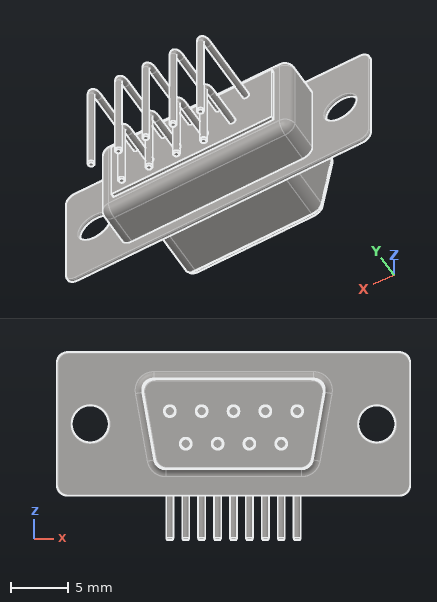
import cadquery as cq
import math


total_depth = 18.97
total_height = 16.4

flange_width = 30.8
flange_height = 12.55
flange_thickness = 0.43
flange_corner_radius = 1.0
flange_edge_round = 0.1
screw_hole_diameter = 3.2
screw_hole_spacing = 24.95

shell_length = 5.75
shell_height = 7.92
shell_top_width = 16.32
shell_side_angle = 10.0
shell_corner_radius = 1.02
shell_flare_radius = 0.62

insert_length = 0.35
insert_inset = 0.1
insert_edge_round = 0.1

housing_width = 19.3
housing_height = 9.95
housing_depth = 4.0
housing_round = 1.0
plate_width = 16.25
plate_height = 7.02
plate_thickness = 0.37

contact_pitch = 2.77
upper_row_count = 5
lower_row_count = 4
socket_diameter = 0.85
socket_mouth_diameter = 1.05
socket_depth = 3.08
socket_row_spacing = 2.83
socket_rows_middle = -0.3

pin_diameter = 0.65
pin_bend_radius = 1.3
pin_row_spacing_z = 2.77
pin_row_spacing_y = 2.85
pin_tip_setback = 0.1
pin_tip_length = 0.2

mating_depth = shell_length + insert_length
housing_back = flange_thickness + housing_depth
plate_back = housing_back + plate_thickness
pin_upper_row_reach = total_depth - mating_depth - pin_diameter / 2
pin_end_z = flange_height / 2 - total_height


def row_positions(count):
    """X places of one row of contacts, centred on X = 0."""
    return [(i - (count - 1) / 2) * contact_pitch for i in range(count)]


def block(width, height, y_start, depth):
    """Box centred on X and Z that runs from y_start towards +Y."""
    return cq.Workplane("XY").box(width, depth, height).translate((0, y_start + depth / 2, 0))


def make_flange():
    flange = block(flange_width, flange_height, 0, flange_thickness)
    flange = flange.edges("|Y").fillet(flange_corner_radius)
    screw_holes = cylinders_along_y(
        [(-screw_hole_spacing / 2, 0), (screw_hole_spacing / 2, 0)],
        screw_hole_diameter,
        0,
        flange_thickness,
    )
    return flange.cut(screw_holes).faces("<Y or >Y").edges().fillet(flange_edge_round)


def d_block(length, inset):
    """Rounded D outline, moved inwards by inset and drawn out from Y = 0 towards -Y."""
    slope = math.radians(shell_side_angle)
    half_height = shell_height / 2 - inset
    half_top = shell_top_width / 2 - inset * (1 / math.cos(slope) + math.tan(slope))
    half_bottom = half_top - 2 * half_height * math.tan(slope)
    corners = [
        (-half_top, half_height),
        (half_top, half_height),
        (half_bottom, -half_height),
        (-half_bottom, -half_height),
    ]
    solid = cq.Workplane("XZ").polyline(corners).close().extrude(length)
    return solid.edges("|Y").fillet(shell_corner_radius)


def make_shell():
    insert = d_block(shell_length + insert_length, insert_inset)
    insert = insert.faces("<Y").edges().fillet(insert_edge_round)
    return d_block(shell_length, 0).union(insert)


def make_housing():
    housing = block(housing_width, housing_height, flange_thickness, housing_depth)
    housing = housing.edges("|Y").fillet(housing_round)
    housing = housing.faces(">Y").edges().fillet(housing_round)
    return housing.union(block(plate_width, plate_height, housing_back, plate_thickness))


def cylinders_along_y(points, diameter, y_start, depth):
    """Round bars at (x, z) points that run from y_start towards +Y."""
    plane = cq.Workplane("XZ", origin=(0, y_start, 0))
    return plane.pushPoints(points).circle(diameter / 2).extrude(-depth)


def make_pin(x, z, reach):
    """Pin that leaves the back plate at height z and turns down at Y = reach."""
    path = (
        cq.Workplane("YZ", origin=(x, 0, 0))
        .moveTo(plate_back, z)
        .lineTo(reach - pin_bend_radius, z)
        .radiusArc((reach, z - pin_bend_radius), pin_bend_radius)
        .lineTo(reach, pin_end_z)
    )
    pin = cq.Workplane("XZ", origin=(x, plate_back, z)).circle(pin_diameter / 2).sweep(path)
    return pin.faces("<Z").chamfer(pin_tip_length, pin_tip_setback)


def cut_sockets(body):
    mouth_chamfer = (socket_mouth_diameter - socket_diameter) / 2
    upper_z = socket_rows_middle + socket_row_spacing / 2
    lower_z = socket_rows_middle - socket_row_spacing / 2
    points = [(x, upper_z) for x in row_positions(upper_row_count)]
    points += [(x, lower_z) for x in row_positions(lower_row_count)]
    for x, z in points:
        bore = cylinders_along_y([(x, z)], socket_diameter, -mating_depth, socket_depth)
        mouth = cq.Solid.makeCone(
            socket_mouth_diameter / 2,
            socket_diameter / 2,
            mouth_chamfer,
            pnt=cq.Vector(x, -mating_depth, z),
            dir=cq.Vector(0, 1, 0),
        )
        body = body.cut(bore).cut(cq.Workplane(mouth))
    return body


shell_root = cq.selectors.BoxSelector(
    (-shell_top_width / 2, -flange_edge_round / 2, -shell_height / 2 - flange_edge_round),
    (shell_top_width / 2, flange_edge_round / 2, shell_height / 2 + flange_edge_round),
)
result = make_flange().union(make_shell())
result = result.edges(shell_root).fillet(shell_flare_radius)
result = result.union(make_housing())
result = cut_sockets(result)

for row_count, z, reach in (
    (upper_row_count, pin_row_spacing_z / 2, pin_upper_row_reach),
    (lower_row_count, -pin_row_spacing_z / 2, pin_upper_row_reach - pin_row_spacing_y),
):
    for x in row_positions(row_count):
        result = result.union(make_pin(x, z, reach))